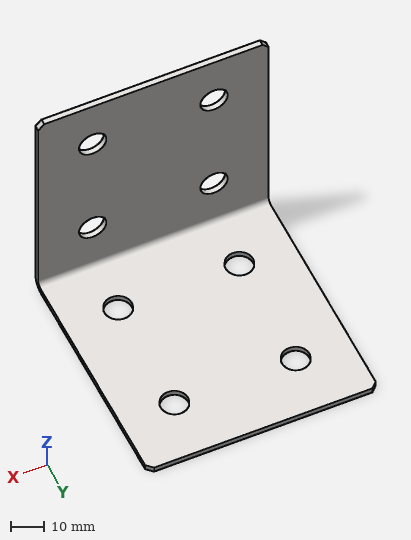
import cadquery as cq

width = 76.0
base_length = 80.0
wall_height = 78.0
thickness = 2.0
inner_bend_radius = 2.0
outer_bend_radius = inner_bend_radius + thickness
corner_chamfer = 2.0

hole_diameter = 9.0
hole_spacing = 40.0
first_hole_row = 20.0
hole_columns = (-hole_spacing / 2, hole_spacing / 2)
hole_rows = (first_hole_row, first_hole_row + hole_spacing)
hole_centers = [(x, row) for x in hole_columns for row in hole_rows]


def make_bent_sheet():
    """L-shaped profile in the YZ plane, extruded across the width and rounded at the bend."""
    sheet = (
        cq.Workplane("YZ")
        .polyline([
            (0, 0),
            (base_length, 0),
            (base_length, thickness),
            (thickness, thickness),
            (thickness, wall_height),
            (0, wall_height),
        ])
        .close()
        .extrude(width / 2, both=True)
    )
    inner_corner = cq.NearestToPointSelector((0, thickness, thickness))
    outer_corner = cq.NearestToPointSelector((0, 0, 0))
    sheet = sheet.edges("|X").edges(inner_corner).fillet(inner_bend_radius)
    return sheet.edges("|X").edges(outer_corner).fillet(outer_bend_radius)


def chamfer_free_corners(sheet):
    """Clip the two corners at the free end of each leg."""
    sheet = sheet.faces(">Z").edges("|Y").chamfer(corner_chamfer)
    return sheet.faces(">Y").edges("|Z").chamfer(corner_chamfer)


def make_hole_pins(plane, depth):
    """Four cylinders, placed on the leg lying in the given plane."""
    return cq.Workplane(plane).pushPoints(hole_centers).circle(hole_diameter / 2).extrude(depth)


bracket = chamfer_free_corners(make_bent_sheet())
bracket = bracket.cut(make_hole_pins("XY", thickness))
result = bracket.cut(make_hole_pins("XZ", -thickness))